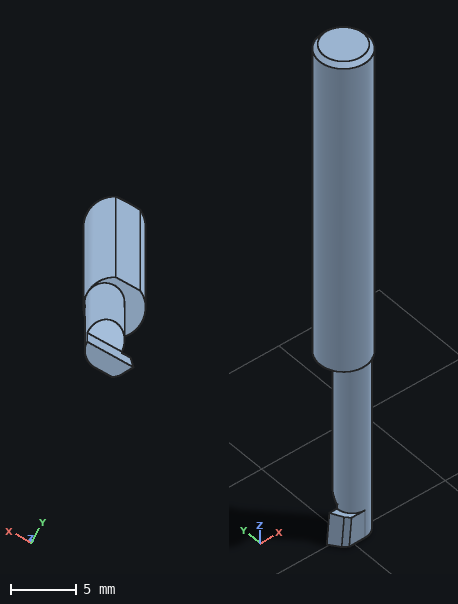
import cadquery as cq

total_length = 50.8
shank_diameter = 4.75
shank_radius = shank_diameter / 2
flat_to_back = 4.5
shank_bottom = 19.05
shank_chamfer = 0.4

neck_diameter = 3.05
neck_radius = neck_diameter / 2
neck_x = shank_radius - neck_radius

rake_bottom = 3.55
rake_top = 5.05

head_top = 3.15
head_lean = 0.25
tip_x = -1.7
flank_break_x = -1.1
flank_break_y = -1.1
heel_x = -0.7

end_rise_x = 0.02
end_rise_y = 0.16


def make_shank():
    flat_y = flat_to_back - shank_radius
    length = total_length - shank_bottom
    shank = (
        cq.Workplane("XY")
        .workplane(offset=shank_bottom)
        .circle(shank_radius)
        .extrude(length)
        .faces(">Z")
        .chamfer(shank_chamfer)
    )
    envelope = (
        cq.Workplane("XY")
        .box(shank_diameter, flat_to_back, total_length, centered=(True, False, False))
        .translate((0, flat_y - flat_to_back, 0))
    )
    return shank.intersect(envelope)


def make_neck():
    neck = cq.Workplane("XY").center(neck_x, 0).circle(neck_radius).extrude(shank_bottom)
    cutaway = (
        cq.Workplane("YZ")
        .polyline([(0, 0), (0, rake_bottom), (neck_radius, rake_top), (neck_radius, 0)])
        .close()
        .extrude(shank_diameter, both=True)
    )
    return neck.cut(cutaway)


def head_outline(lean):
    return [
        (tip_x + lean, 0),
        (flank_break_x + lean, flank_break_y),
        (heel_x + lean, -neck_radius),
        (neck_x, -neck_radius),
        (neck_x, 0),
    ]


def make_head():
    return (
        cq.Workplane("XY")
        .polyline(head_outline(0))
        .close()
        .workplane(offset=head_top)
        .polyline(head_outline(head_lean))
        .close()
        .loft(ruled=True, combine=True)
    )


def make_end_relief():
    """Solid below the end face, which rises from the tip towards +X and -Y."""
    block_depth = shank_diameter
    block_width = 4 * shank_diameter
    end_plane = cq.Plane(
        origin=(tip_x, 0, 0),
        xDir=(1, 0, end_rise_x),
        normal=(-end_rise_x, end_rise_y, 1),
    )
    return cq.Workplane(end_plane).rect(block_width, block_width).extrude(-block_depth)


tip = make_neck().union(make_head()).cut(make_end_relief())
result = make_shank().union(tip)